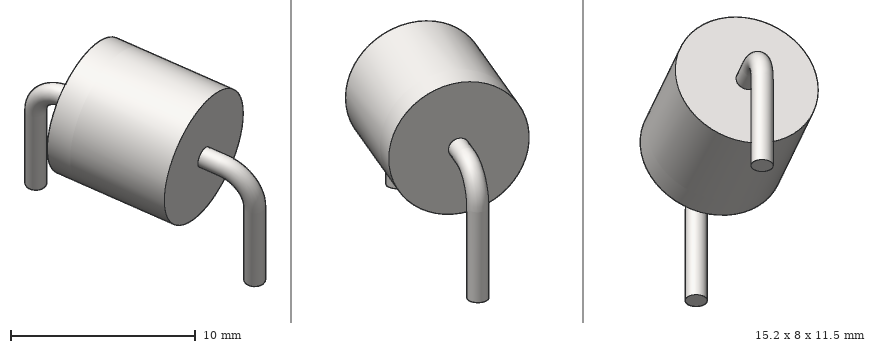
import cadquery as cq

overall_length = 15.2
body_diameter = 8.0
overall_height = 11.5

body_length = 7.5
band_width = 1.49

lead_diameter = 1.2
bend_radius = 2.0

body_radius = body_diameter / 2
lead_radius = lead_diameter / 2
lead_offset = overall_length / 2 - lead_radius
lead_drop = overall_height - body_radius


def make_body():
    """Cylinder along X: an end band and the main body, flush, with the seam between them kept."""
    start = cq.Workplane("YZ").workplane(offset=-body_length / 2)
    band = start.circle(body_radius).extrude(band_width)
    main = (
        start.workplane(offset=band_width)
        .circle(body_radius)
        .extrude(body_length - band_width)
    )
    return band.union(main, clean=False)


def make_leads():
    """One round wire: up from a tip, bent through the body axis and down again."""
    bend_start = lead_offset - bend_radius
    path = (
        cq.Workplane("XZ")
        .moveTo(-lead_offset, -lead_drop)
        .lineTo(-lead_offset, -bend_radius)
        .tangentArcPoint((-bend_start, 0), relative=False)
        .lineTo(bend_start, 0)
        .tangentArcPoint((lead_offset, -bend_radius), relative=False)
        .lineTo(lead_offset, -lead_drop)
    )
    return (
        cq.Workplane("XY", origin=(-lead_offset, 0, -lead_drop))
        .circle(lead_radius)
        .sweep(path)
    )


result = make_body().union(make_leads(), clean=False)